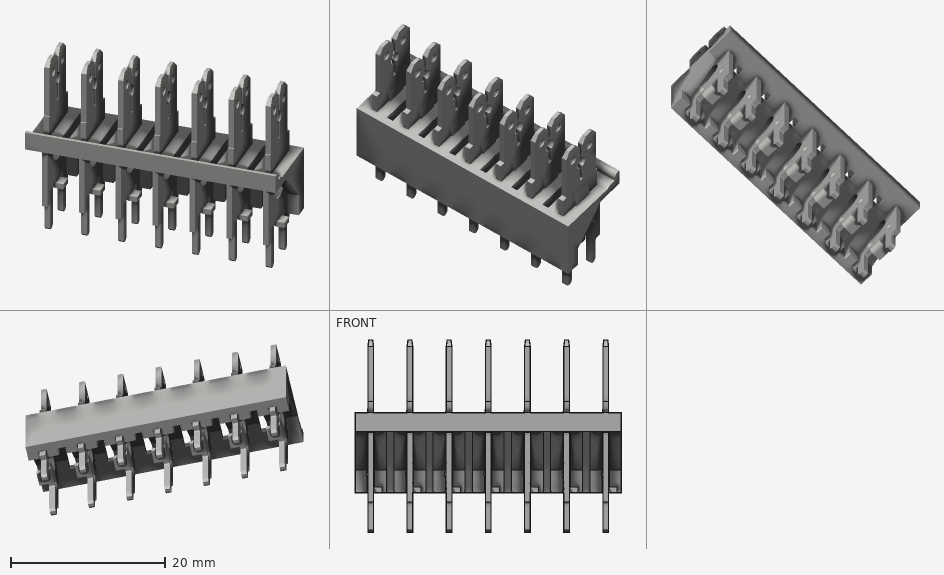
import cadquery as cq


terminal_count = 7
pitch = 5.1

housing_length = 34.6
housing_depth = 10.9
flange_thickness = 1.07
lip_height = 1.42
lip_thickness = 0.97
lip_bevel = 0.52
lip_bevel_radius = 0.85
ramp_width = 0.62
shelf_height = 0.3
wall_thickness = 2.05
wall_height = 9.0
gusset_front = 7.0
slot_width = 0.97
slot_back = 1.07
slot_front = 8.37
slot_flare = 0.15
slot_flare_height = 0.2

plate_thickness = 0.75
plate_width = slot_front - slot_back
plate_center = 3.9
plate_top = 2.87
plate_bottom = -10.17
front_shoulder_reach = 7.95
front_shoulder_top = -1.18
window_diameter = 4.0
window_z = -3.1

blade_width = 2.87
blade_spacing = 3.5
blade_top = 10.85
tip_height = 0.85
tip_chamfer = 0.83
tip_thickness = 0.52
blade_hole_diameter = 1.2
blade_hole_z = 8.72
keyhole_diameter = 1.73
keyhole_z = 6.8
blade_gap_bottom = 3.7

leg_width = 1.1
leg_bottom = -14.15
leg_chamfer = 0.35
arch_top = -7.75
corner_round = 0.17

tab_width = 1.8
tab_reach = 1.07
tab_bottom = -9.0

dimple_radius = 0.52
dimple_height = 0.2
dimple_z = -6.6
dimple_spacing = 3.6
dimple_shift = 0.75

lance_top_width = 3.0
lance_bottom_width = 2.7
lance_height = 1.9
lance_reach = 0.3

rear_interference = 0.05



def housing_profile():
    lip_back = housing_depth - lip_thickness
    return (
        cq.Workplane("YZ", origin=(-housing_length / 2, 0, 0))
        .moveTo(0, 0)
        .lineTo(-slot_front, 0)
        .lineTo(-slot_front - ramp_width, shelf_height)
        .lineTo(-lip_back, shelf_height)
        .lineTo(-lip_back, lip_height - lip_bevel)
        .radiusArc((-lip_back - lip_bevel, lip_height), -lip_bevel_radius)
        .lineTo(-housing_depth, lip_height)
        .lineTo(-housing_depth, -flange_thickness)
        .lineTo(-gusset_front, -flange_thickness)
        .lineTo(-wall_thickness, -flange_thickness - (gusset_front - wall_thickness))
        .lineTo(-wall_thickness, -wall_height)
        .lineTo(0, -wall_height)
        .close()
        .extrude(housing_length)
    )


def slot(x):
    half = slot_width / 2
    flare_top = -wall_height + slot_flare_height
    return (
        cq.Workplane("XZ", origin=(x, -slot_back, 0))
        .polyline([
            (-half, 0),
            (half, 0),
            (half, flare_top),
            (half + slot_flare, -wall_height),
            (-half - slot_flare, -wall_height),
            (-half, flare_top),
        ])
        .close()
        .extrude(slot_front - slot_back)
    )


def make_housing():
    """Angled bar with a slot for each terminal and an open slot between neighbours."""
    housing = housing_profile()
    slot_count = 2 * terminal_count - 1
    for i in range(slot_count):
        housing = housing.cut(slot((i - (slot_count - 1) / 2) * pitch / 2))
    return housing



def plate_outline(points):
    """Plate of full thickness from (distance forwards, height) points."""
    return (
        cq.Workplane("YZ", origin=(-plate_thickness / 2, 0, 0))
        .polyline([(-forward, z) for forward, z in points])
        .close()
        .extrude(plate_thickness)
    )


def cross_hole(forward, z, diameter):
    return (
        cq.Workplane("YZ", origin=(-plate_thickness / 2, -forward, z))
        .circle(diameter / 2)
        .extrude(plate_thickness)
    )


def round_corner(plate, forward, z, radius):
    corner = cq.selectors.NearestToPointSelector((0, -forward, z))
    return plate.edges(corner).fillet(radius)


def make_plate():
    return plate_outline([
        (0, plate_top),
        (plate_width, plate_top),
        (plate_width, front_shoulder_top),
        (front_shoulder_reach, front_shoulder_top),
        (front_shoulder_reach, plate_bottom),
        (plate_center + pitch / 2, plate_bottom),
        (plate_center + pitch / 2, arch_top),
        (plate_center - pitch / 2, arch_top),
        (plate_center - pitch / 2, plate_bottom),
        (0, plate_bottom),
    ])


def make_leg(center):
    back = center - leg_width / 2
    front = center + leg_width / 2
    return plate_outline([
        (back, arch_top),
        (front, arch_top),
        (front, leg_bottom + leg_chamfer),
        (front - leg_chamfer, leg_bottom),
        (back + leg_chamfer, leg_bottom),
        (back, leg_bottom + leg_chamfer),
    ])


def make_blade(center):
    """Tab blade with a bevelled tip and a hole."""
    back = center - blade_width / 2
    front = center + blade_width / 2
    tip_base = blade_top - tip_height
    blade = plate_outline([
        (back, plate_top),
        (front, plate_top),
        (front, tip_base),
        (front - tip_chamfer, blade_top),
        (back + tip_chamfer, blade_top),
        (back, tip_base),
    ])
    tapered_thickness = (
        cq.Workplane("XZ")
        .polyline([
            (-plate_thickness / 2, plate_top),
            (plate_thickness / 2, plate_top),
            (plate_thickness / 2, tip_base),
            (tip_thickness / 2, blade_top),
            (-tip_thickness / 2, blade_top),
            (-plate_thickness / 2, tip_base),
        ])
        .close()
        .extrude(front_shoulder_reach)
    )
    return blade.intersect(tapered_thickness).cut(cross_hole(center, blade_hole_z, blade_hole_diameter))


def blade_gap():
    """Slit between the blades, with a round relief part-way up the gap."""
    half = (blade_spacing - blade_width) / 2
    slit = plate_outline([
        (plate_center - half, blade_gap_bottom),
        (plate_center + half, blade_gap_bottom),
        (plate_center + half, blade_top),
        (plate_center - half, blade_top),
    ])
    return slit.union(cross_hole(plate_center, keyhole_z, keyhole_diameter))


def blade_root():
    """Solid bridge joining the two blades below the slit."""
    half = blade_spacing / 2
    return plate_outline([
        (plate_center - half, plate_top),
        (plate_center + half, plate_top),
        (plate_center + half, blade_gap_bottom),
        (plate_center - half, blade_gap_bottom),
    ])


def bent_tab():
    """Tongue below the arch, bent towards +X."""
    face = plate_thickness / 2
    bend_top = tab_bottom + plate_thickness
    return (
        cq.Workplane("XZ", origin=(0, -plate_center + tab_width / 2, 0))
        .moveTo(-face, arch_top)
        .lineTo(-face, bend_top)
        .radiusArc((face, tab_bottom), -plate_thickness)
        .lineTo(face + tab_reach, tab_bottom)
        .lineTo(face + tab_reach, bend_top)
        .lineTo(face, bend_top)
        .lineTo(face, arch_top)
        .close()
        .extrude(tab_width)
    )


def dimple(forward):
    """Shallow spherical bump on the -X face."""
    sphere_radius = (dimple_radius ** 2 + dimple_height ** 2) / (2 * dimple_height)
    return (
        cq.Workplane("XY", origin=(-plate_thickness / 2, -forward, dimple_z))
        .moveTo(0, 0)
        .lineTo(0, dimple_radius)
        .radiusArc((-dimple_height, 0), -sphere_radius)
        .close()
        .revolve(360, (0, 0), (1, 0))
    )


def lance():
    """Ramp on the -X face that stands on the top of the housing."""
    face = -plate_thickness / 2
    ramp = (
        cq.Workplane("XZ")
        .polyline([(face, 0), (face, lance_height), (face - lance_reach, 0)])
        .close()
        .extrude(plate_width)
    )
    tapered_sides = (
        cq.Workplane("YZ", origin=(face, -plate_center, 0))
        .polyline([
            (-lance_bottom_width / 2, 0),
            (lance_bottom_width / 2, 0),
            (lance_top_width / 2, lance_height),
            (-lance_top_width / 2, lance_height),
        ])
        .close()
        .extrude(-lance_reach)
    )
    return ramp.intersect(tapered_sides)


def make_terminal():
    terminal = make_plate()
    for side in (-1, 1):
        terminal = terminal.union(make_leg(plate_center + side * pitch / 2))
        terminal = terminal.union(make_blade(plate_center + side * blade_spacing / 2))
    terminal = terminal.union(blade_root()).cut(blade_gap())
    terminal = terminal.cut(cross_hole(plate_center, window_z, window_diameter))

    for side in (-1, 1):
        leg_center = plate_center + side * pitch / 2
        leg_inside = leg_center - side * leg_width / 2
        leg_outside = leg_center + side * leg_width / 2
        terminal = round_corner(terminal, leg_inside, arch_top, corner_round)
        terminal = round_corner(terminal, leg_outside, plate_bottom, corner_round)
    rear_blade_edge = plate_center - blade_spacing / 2 - blade_width / 2
    terminal = round_corner(terminal, rear_blade_edge, plate_top, corner_round)
    terminal = round_corner(terminal, front_shoulder_reach, front_shoulder_top, corner_round)

    terminal = terminal.union(bent_tab()).union(lance())
    for side in (-1, 1):
        terminal = terminal.union(dimple(plate_center + dimple_shift + side * dimple_spacing / 2))
    return terminal


terminal = make_terminal()
row_x = [(i - (terminal_count - 1) / 2) * pitch for i in range(terminal_count)]

header = make_housing()
for x in row_x[:-1]:
    header = header.union(terminal.translate((x, rear_interference - slot_back, 0)))

loose_terminal = terminal.translate((row_x[-1], -slot_back, 0))

result = cq.Compound.makeCompound([header.solids().val(), loose_terminal.solids().val()])